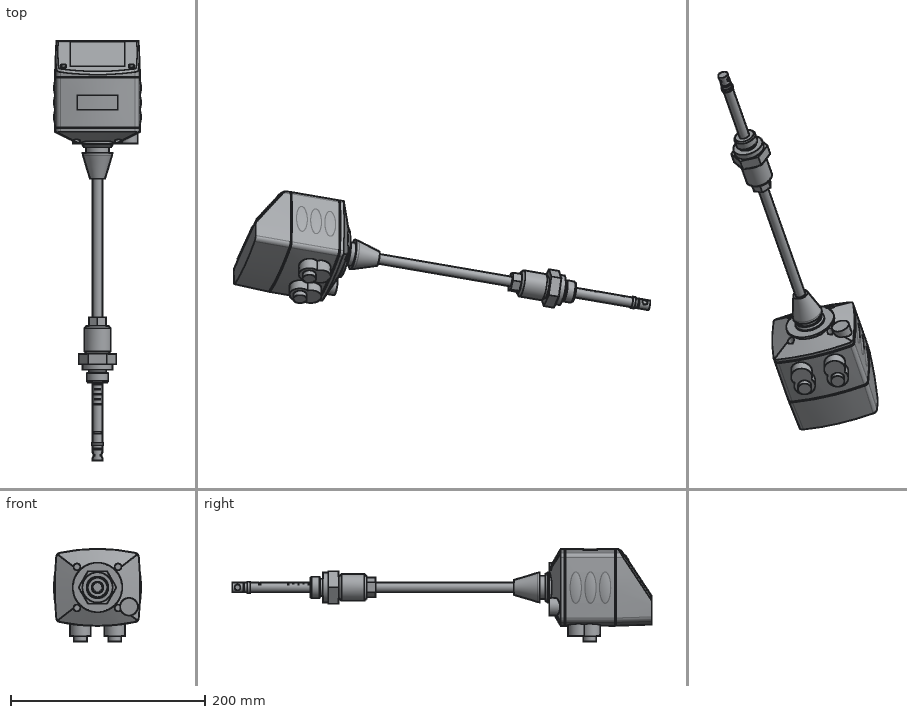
import cadquery as cq
import math

LENGTH = 432.0

BODY_HALF_WIDTH = 44.0
BODY_HALF_HEIGHT = 39.7
CORNER_X_RATIO = 0.96
CORNER_Z_RATIO = 0.88
BODY_CORNER_RADIUS = 5.0
REAR_JOINT = 37.5
FRONT_JOINT = 89.5
JOINT_GROOVE_WIDTH = 1.5
JOINT_GROOVE_DEPTH = 0.5
BODY_FRONT = 93.7
REAR_DRAFT = 1.5

SLOPE_FOOT_Z = -10.0
SLOPE_TOP_STATION = 33.0
SLOPE_CHAMFER = 2.0
PANEL_WIDTH = 56.0
PANEL_TOP_STATION = 26.5
PANEL_HEIGHT = 0.5
COVER_SCREW_X = 35.0
COVER_SCREW_STATION = 26.5
COVER_SCREW_RADIUS = 3.0
COVER_SCREW_HEIGHT = 1.0

LABEL_WIDTH = 41.5
LABEL_START = 56.0
LABEL_END = 71.0
LABEL_DEPTH = 0.5

GRIP_STATIONS = (48.5, 63.5, 78.5)
GRIP_REACH = 45.0
GRIP_RADIUS = 20.0
GRIP_HALF_HEIGHT = 19.0
GRIP_END_DROP = 1.7

NOSE_HALF_WIDTH = 19.5
NOSE_HALF_HEIGHT = 19.0
FLANGE_RADIUS = 25.5
FLANGE_FRONT = 106.0
FLANGE_BACK = 103.2
SCREW_OFFSET = 21.0
SCREW_RADIUS = 3.5
SCREW_FLOOR = 96.0
PLUG_X = 32.5
PLUG_Z = -20.0
PLUG_RADIUS = 9.0

GLAND_X = 17.5
GLAND_RADIUS = 11.0
GLAND_STATIONS = (64.0, 75.5)
GLAND_BOTTOM = -50.0
GLAND_NECK_RADIUS = 7.0
GLAND_NECK_BOTTOM = -55.7

ROD_RADIUS = 5.0
SMALL_HEX_START = 284.3
SMALL_HEX_END = 293.5
SMALL_HEX_FLATS = 17.5
BIG_HEX_START = 322.3
BIG_HEX_END = 333.0
BIG_HEX_FLATS = 33.5

MARK_FIRST = 353.5
MARK_PITCH = 5.0
MARK_COUNT = 5
MARK_THICKNESS = 1.0
MARK_LONG = 7.8
MARK_SHORT = 5.0
LIMIT_MARK_STATION = 403.5
LIMIT_MARK_THICKNESS = 2.0
MARK_DEPTH = 0.5

DIMPLE_STATION = 426.5
DIMPLE_RADIUS = 3.0
DIMPLE_DEPTH = 2.0


def at_station(station, x=0, z=0):
    """XZ workplane at a station; positive extrusion runs towards the tip."""
    return cq.Workplane("XZ", origin=(x, -station, z))


def bulged_rectangle(plane, half_width, half_height):
    """Rectangle with four slightly bulged sides."""
    x = half_width * CORNER_X_RATIO
    z = half_height * CORNER_Z_RATIO
    return (
        plane.moveTo(-x, z)
        .threePointArc((0, half_height), (x, z))
        .threePointArc((half_width, 0), (x, -z))
        .threePointArc((0, -half_height), (-x, -z))
        .threePointArc((-half_width, 0), (-x, z))
        .close()
    )


def bulged_prism(start, end, inset=0.0):
    half_width = BODY_HALF_WIDTH - inset
    half_height = BODY_HALF_HEIGHT - inset
    prism = bulged_rectangle(at_station(start), half_width, half_height).extrude(end - start)
    return prism.edges("|Y").fillet(BODY_CORNER_RADIUS - inset)


def bulged_loft(start, start_half_size, end, end_half_size):
    plane = bulged_rectangle(at_station(start), *start_half_size)
    plane = plane.workplane(offset=end - start)
    return bulged_rectangle(plane, *end_half_size).loft(ruled=True)


def runs_lengthwise(edge):
    return edge.BoundingBox().ylen > REAR_JOINT / 2


def sloped_rear_cover():
    full_size = (BODY_HALF_WIDTH, BODY_HALF_HEIGHT)
    rear_size = (BODY_HALF_WIDTH - REAR_DRAFT, BODY_HALF_HEIGHT - REAR_DRAFT)
    cover = bulged_loft(0, rear_size, REAR_JOINT, full_size)
    cover = cover.edges().filter(runs_lengthwise).fillet(BODY_CORNER_RADIUS)

    rise = BODY_HALF_HEIGHT - SLOPE_FOOT_Z
    slope_angle = math.atan2(rise, SLOPE_TOP_STATION)
    normal = cq.Vector(0, math.sin(slope_angle), math.cos(slope_angle))
    slope_plane = cq.Plane(origin=(0, 0, SLOPE_FOOT_Z), xDir=(-1, 0, 0), normal=normal)
    cutter_size = 2 * LENGTH
    cutter = cq.Workplane(slope_plane).rect(cutter_size, cutter_size).extrude(LENGTH)
    cover = cover.cut(cutter)
    slope_face = cover.faces(cq.selectors.DirectionNthSelector(normal, -1))
    cover = slope_face.chamfer(SLOPE_CHAMFER)

    panel_foot = PANEL_HEIGHT * math.tan(slope_angle)
    panel_top = PANEL_TOP_STATION / math.cos(slope_angle)
    panel = (
        cq.Workplane(slope_plane)
        .center(0, (panel_foot + panel_top) / 2)
        .rect(PANEL_WIDTH, panel_top - panel_foot)
        .extrude(PANEL_HEIGHT)
    )
    screw_y = COVER_SCREW_STATION / math.cos(slope_angle)
    screws = (
        cq.Workplane(slope_plane)
        .pushPoints([(-COVER_SCREW_X, screw_y), (COVER_SCREW_X, screw_y)])
        .circle(COVER_SCREW_RADIUS)
        .extrude(COVER_SCREW_HEIGHT)
    )
    return cover.union(panel).union(screws)


def nose():
    """Four-sided pyramidal nose trimmed to the rounded body corners."""
    pyramid = bulged_loft(
        BODY_FRONT, (BODY_HALF_WIDTH, BODY_HALF_HEIGHT),
        FLANGE_FRONT, (NOSE_HALF_WIDTH, NOSE_HALF_HEIGHT),
    )
    return pyramid.intersect(bulged_prism(REAR_JOINT, FLANGE_FRONT))


def joint_groove(station):
    start = station - JOINT_GROOVE_WIDTH / 2
    end = station + JOINT_GROOVE_WIDTH / 2
    outer = bulged_prism(start, end, -JOINT_GROOVE_DEPTH)
    inner = bulged_prism(start, end, JOINT_GROOVE_DEPTH)
    return outer.cut(inner)


def grip(station, side):
    """Barrel standing on a vertical axis, mostly buried in the housing side."""
    end_radius = GRIP_RADIUS - GRIP_END_DROP
    return (
        cq.Workplane("XZ")
        .moveTo(0, -GRIP_HALF_HEIGHT)
        .lineTo(end_radius, -GRIP_HALF_HEIGHT)
        .threePointArc((GRIP_RADIUS, 0), (end_radius, GRIP_HALF_HEIGHT))
        .lineTo(0, GRIP_HALF_HEIGHT)
        .close()
        .revolve(360, (0, 0, 0), (0, 1, 0))
        .translate((side * (GRIP_REACH - GRIP_RADIUS), -station, 0))
    )


def cable_gland(x):
    def post(station, radius, bottom):
        return cq.Workplane("XY", origin=(x, -station, 0)).circle(radius).extrude(bottom)

    gland = post(GLAND_STATIONS[0], GLAND_NECK_RADIUS, GLAND_NECK_BOTTOM)
    for station in GLAND_STATIONS:
        gland = gland.union(post(station, GLAND_RADIUS, GLAND_BOTTOM))
    return gland


def housing():
    body = bulged_prism(REAR_JOINT, BODY_FRONT).union(sloped_rear_cover()).union(nose())
    for station in (REAR_JOINT, FRONT_JOINT):
        body = body.cut(joint_groove(station))
    for station in GRIP_STATIONS:
        for side in (-1, 1):
            body = body.union(grip(station, side))

    label_length = LABEL_END - LABEL_START
    label_centre = (LABEL_START + LABEL_END) / 2
    label_prism = (
        cq.Workplane("XY", origin=(0, -label_centre, 0))
        .rect(LABEL_WIDTH, label_length)
        .extrude(BODY_HALF_HEIGHT)
    )
    full_section = bulged_prism(REAR_JOINT, FRONT_JOINT)
    label_floor = bulged_prism(REAR_JOINT, FRONT_JOINT, LABEL_DEPTH)
    label_skin = full_section.cut(label_floor)
    body = body.cut(label_prism.intersect(label_skin))

    screw_holes = (
        at_station(SCREW_FLOOR)
        .rect(2 * SCREW_OFFSET, 2 * SCREW_OFFSET, forConstruction=True)
        .vertices()
        .circle(SCREW_RADIUS)
        .extrude(FLANGE_FRONT - SCREW_FLOOR)
    )
    flange = at_station(FLANGE_BACK).circle(FLANGE_RADIUS).extrude(FLANGE_FRONT - FLANGE_BACK)
    plug = at_station(FRONT_JOINT, PLUG_X, PLUG_Z).circle(PLUG_RADIUS)
    plug = plug.extrude(FLANGE_FRONT - FRONT_JOINT)
    body = body.cut(screw_holes).union(flange).union(plug)
    for x in (-GLAND_X, GLAND_X):
        body = body.union(cable_gland(x))
    return body


def turned_probe():
    """Everything turned about the probe axis, as (radius, station) steps."""
    outline = [
        (0, BODY_FRONT),
        (15.5, BODY_FRONT), (15.5, 107.0), (14.0, 109.7), (12.0, 109.7), (12.0, 115.5),
        (15.5, 115.5), (15.0, 118.0), (7.8, 142.0), (ROD_RADIUS, 142.0),
        (ROD_RADIUS, SMALL_HEX_END), (11.2, SMALL_HEX_END), (14.0, 296.0), (14.0, 319.2),
        (11.2, BIG_HEX_START), (11.2, BIG_HEX_END),
        (15.5, BIG_HEX_END), (15.5, 338.5), (9.0, 338.5), (9.0, 341.3), (11.2, 342.0),
        (11.2, 350.0), (10.0, 351.5), (ROD_RADIUS, 351.5),
        (ROD_RADIUS, 413.5), (6.0, 413.5), (6.0, 416.5), (ROD_RADIUS, 416.5),
        (ROD_RADIUS, 419.5), (4.5, 419.5), (4.5, 420.8), (ROD_RADIUS, 420.8),
        (ROD_RADIUS, LENGTH), (0, LENGTH),
    ]
    points = [(radius, -station) for radius, station in outline]
    return cq.Workplane("XY").polyline(points).close().revolve(360, (0, 0, 0), (0, 1, 0))


def hexagon(start, end, across_flats, turn):
    corner_diameter = across_flats / math.cos(math.pi / 6)
    prism = at_station(start).polygon(6, corner_diameter).extrude(end - start)
    return prism.rotate((0, 0, 0), (0, 1, 0), turn)


def depth_mark(station, width, thickness):
    """Shallow groove across the top of the rod."""
    start = station - thickness / 2
    ring = at_station(start).circle(ROD_RADIUS).circle(ROD_RADIUS - MARK_DEPTH).extrude(thickness)
    strip = at_station(start, 0, ROD_RADIUS / 2).rect(width, ROD_RADIUS).extrude(thickness)
    return ring.intersect(strip)


def probe():
    body = turned_probe()
    body = body.union(hexagon(SMALL_HEX_START, SMALL_HEX_END, SMALL_HEX_FLATS, 30))
    body = body.union(hexagon(BIG_HEX_START, BIG_HEX_END, BIG_HEX_FLATS, 0))
    for index in range(MARK_COUNT):
        width = MARK_SHORT if index % 2 else MARK_LONG
        body = body.cut(depth_mark(MARK_FIRST + index * MARK_PITCH, width, MARK_THICKNESS))
    body = body.cut(depth_mark(LIMIT_MARK_STATION, MARK_LONG, LIMIT_MARK_THICKNESS))
    for side in (-1, 1):
        dimple = (
            cq.Workplane("YZ", origin=(side * ROD_RADIUS, -DIMPLE_STATION, 0))
            .circle(DIMPLE_RADIUS)
            .extrude(-side * DIMPLE_DEPTH)
        )
        body = body.cut(dimple)
    return body


result = housing().union(probe())